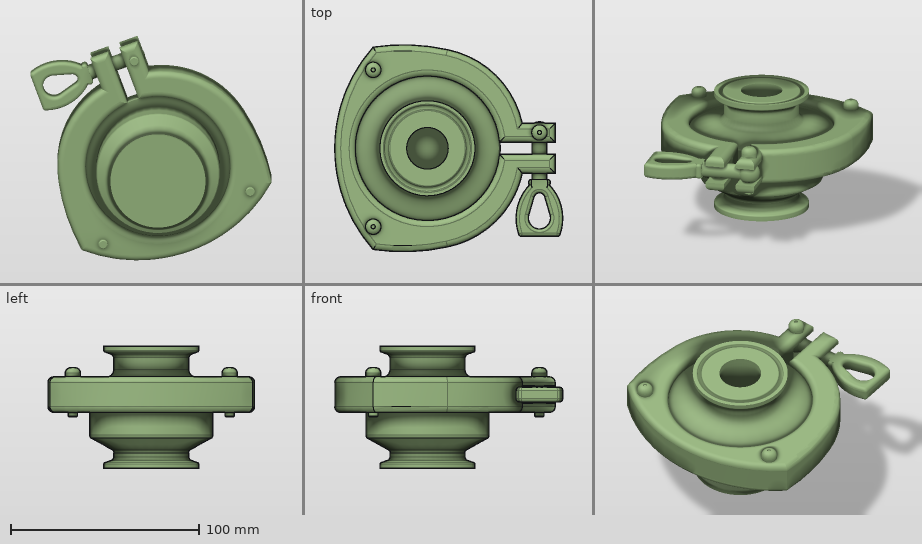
import cadquery as cq
import math

CLAMP_HALF_HEIGHT = 9.5
CLAMP_EDGE_FILLET = 3.2
CLAMP_BORE_RADIUS = 38.4
CLAMP_LEFT_X = -49.3
CLAMP_HALF_WIDTH = 54.985
SIDE_ARC_RADIUS = 108.0
SIDE_ARC_CENTER_X = -12.7
CORNER_X = -28.8
FLANK_END_X = 10.6
FRONT_ARC_MID = (36.6, 38.5)
ARM_ROOT_X = 50.4
ARM_END_X = 67.9
ARM_OUTER_Y = 13.35
ARM_GAP_HALF = 3.15
BOLT_SLOT_HALF_HEIGHT = 4.6
BOLT_SLOT_START_X = ARM_ROOT_X

BODY_TOP_Z = 25.75
BODY_HEIGHT = 65.0
BODY_BOTTOM_Z = BODY_TOP_Z - BODY_HEIGHT
PORT_FLANGE_RADIUS = 50.5 / 2
PORT_FLANGE_RIM = 2.3
PORT_TUBE_RADIUS = 40.0 / 2
PORT_RIM_ROUND_END = (24.7, 3.1)
PORT_CONE_END = (21.5, 4.3)
PORT_NECK_LENGTH = 6.1
FOOT_TOP_Z = 13.2
FOOT_RADIUS = 22.8
DISC_RADIUS = 38.7
DISC_EDGE_ROUND = 0.5
DISC_EDGE_Z = 5.0
FOOT_BOTTOM_Z = 9.5
HOUSING_RADIUS = 65.5 / 2
HOUSING_END_Z = -21.4
HOUSING_CONE_START = (32.2, -23.0)
HOUSING_CONE_END = (20.5, -29.5)
LOWER_TUBE_TOP_Z = -31.1
PORT_BORE_RADIUS = 22.1 / 2
PORT_BORE_DEPTH = BODY_TOP_Z
GASKET_GROOVE_RADIUS = 21.75
GASKET_GROOVE_ROUND = 1.1
GASKET_GROOVE_LIP = 0.6

PIN_HEAD_RADIUS = 4.1
PIN_HEAD_TOP_Z = 14.4
PIN_DOME_ROUND = 3.05
PIN_DIMPLE_RADIUS = 1.1
PIN_DIMPLE_DEPTH = 0.8
PIN_RADIUS = 5.0 / 2
PIN_END_Z = -11.85
PIN_END_CHAMFER = 0.5
HINGE_PIN_Y = 41.65

BOLT_X = 59.46
BOLT_PIN_Y = 8.4
BOLT_RADIUS = 8.0 / 2
BOLT_EYE_RADIUS = 5.75
BOLT_EYE_HALF_HEIGHT = 4.5
NUT_HALF_HEIGHT = 4.0
NUT_EDGE_FILLET = 1.9
NUT_HALF_WIDTH = 12.45
NUT_TOP_Y = -16.6
NUT_TOP_HALF_WIDTH = 4.0
NUT_WIDEST_Y = -36.5
NUT_END_Y = -46.8
NUT_END_HALF_WIDTH = 10.6
NUT_CORNER_FILLET = 1.5
COLLAR_HALF_WIDTH = 5.8
COLLAR_LENGTH = 3.2
COLLAR_FILLET = 1.4
NECK_HALF_WIDTH = 4.2
NECK_LENGTH = 3.9
EYELET_LARGE_RADIUS = 5.8
EYELET_LARGE_Y = -37.0
EYELET_SMALL_RADIUS = 2.9
EYELET_SMALL_Y = -26.6


def flank_y(x):
    """Height of the flank arc above the X axis at position x."""
    center_y = CLAMP_HALF_WIDTH - SIDE_ARC_RADIUS
    return center_y + math.sqrt(SIDE_ARC_RADIUS ** 2 - (x - SIDE_ARC_CENTER_X) ** 2)


def block(x_range, y_range, z_range):
    """Axis-aligned box from its limits."""
    return cq.Workplane("XY").box(
        x_range[1] - x_range[0], y_range[1] - y_range[0], z_range[1] - z_range[0], centered=False
    ).translate((x_range[0], y_range[0], z_range[0]))


def make_clamp():
    """Edge-rounded clamp ring with two slotted arms."""
    corner = (CORNER_X, flank_y(CORNER_X))
    crest = (SIDE_ARC_CENTER_X, CLAMP_HALF_WIDTH)
    flank_end = (FLANK_END_X, flank_y(FLANK_END_X))

    def mirrored(point):
        return (point[0], -point[1])

    clamp = (
        cq.Workplane("XY")
        .workplane(offset=-CLAMP_HALF_HEIGHT)
        .moveTo(*mirrored(corner))
        .threePointArc((CLAMP_LEFT_X, 0), corner)
        .threePointArc(crest, flank_end)
        .threePointArc(FRONT_ARC_MID, (ARM_ROOT_X, ARM_OUTER_Y))
        .lineTo(ARM_END_X, ARM_OUTER_Y)
        .lineTo(ARM_END_X, -ARM_OUTER_Y)
        .lineTo(ARM_ROOT_X, -ARM_OUTER_Y)
        .threePointArc(mirrored(FRONT_ARC_MID), mirrored(flank_end))
        .threePointArc(mirrored(crest), mirrored(corner))
        .close()
        .extrude(2 * CLAMP_HALF_HEIGHT)
    )
    z_range = (-CLAMP_HALF_HEIGHT, CLAMP_HALF_HEIGHT)
    bore = cq.Workplane("XY").circle(CLAMP_BORE_RADIUS).extrude(CLAMP_HALF_HEIGHT, both=True)
    arm_gap = block((0, ARM_END_X), (-ARM_GAP_HALF, ARM_GAP_HALF), z_range)
    clamp = clamp.cut(bore).cut(arm_gap)
    clamp = clamp.faces("|Z").edges().fillet(CLAMP_EDGE_FILLET)
    bolt_slot = block(
        (BOLT_SLOT_START_X, ARM_END_X),
        (-ARM_OUTER_Y, ARM_OUTER_Y),
        (-BOLT_SLOT_HALF_HEIGHT, BOLT_SLOT_HALF_HEIGHT),
    )
    return clamp.cut(bolt_slot)


def make_gasket_groove():
    """Round-bottomed ring cutter with rounded lips, in the top port face."""
    inner_wall = GASKET_GROOVE_RADIUS - GASKET_GROOVE_ROUND
    outer_wall = GASKET_GROOVE_RADIUS + GASKET_GROOVE_ROUND
    wall_z = BODY_TOP_Z - GASKET_GROOVE_LIP
    inner_lip = inner_wall - GASKET_GROOVE_LIP
    outer_lip = outer_wall + GASKET_GROOVE_LIP
    lip_middle = GASKET_GROOVE_LIP * math.sqrt(0.5)
    return (
        cq.Workplane("XZ")
        .moveTo(inner_lip, BODY_TOP_Z)
        .threePointArc((inner_lip + lip_middle, wall_z + lip_middle), (inner_wall, wall_z))
        .threePointArc((GASKET_GROOVE_RADIUS, wall_z - GASKET_GROOVE_ROUND), (outer_wall, wall_z))
        .threePointArc((outer_lip - lip_middle, wall_z + lip_middle), (outer_lip, BODY_TOP_Z))
        .close()
        .revolve(360, (0, 0, 0), (0, 1, 0))
    )


def make_body():
    """Revolved valve body with a grooved, blind-bored port on top."""
    rim_top_z = BODY_TOP_Z - PORT_FLANGE_RIM
    rim_bottom_z = BODY_BOTTOM_Z + PORT_FLANGE_RIM
    round_radius, round_depth = PORT_RIM_ROUND_END
    cone_radius, cone_depth = PORT_CONE_END
    upper_tube_z = BODY_TOP_Z - PORT_NECK_LENGTH
    lower_tube_z = BODY_BOTTOM_Z + PORT_NECK_LENGTH
    disc_flat_radius = DISC_RADIUS - DISC_EDGE_ROUND
    disc_side_z = DISC_EDGE_Z - DISC_EDGE_ROUND
    body = (
        cq.Workplane("XZ")
        .moveTo(0, BODY_TOP_Z)
        .lineTo(PORT_FLANGE_RADIUS, BODY_TOP_Z)
        .lineTo(PORT_FLANGE_RADIUS, rim_top_z)
        .tangentArcPoint((round_radius, BODY_TOP_Z - round_depth), relative=False)
        .lineTo(cone_radius, BODY_TOP_Z - cone_depth)
        .tangentArcPoint((PORT_TUBE_RADIUS, upper_tube_z), relative=False)
        .lineTo(PORT_TUBE_RADIUS, FOOT_TOP_Z)
        .tangentArcPoint((FOOT_RADIUS, FOOT_BOTTOM_Z), relative=False)
        .lineTo(disc_flat_radius, DISC_EDGE_Z)
        .tangentArcPoint((DISC_RADIUS, disc_side_z), relative=False)
        .lineTo(DISC_RADIUS, -disc_side_z)
        .lineTo(disc_flat_radius, -DISC_EDGE_Z)
        .lineTo(HOUSING_RADIUS, -DISC_EDGE_Z)
        .lineTo(HOUSING_RADIUS, HOUSING_END_Z)
        .tangentArcPoint(HOUSING_CONE_START, relative=False)
        .lineTo(*HOUSING_CONE_END)
        .tangentArcPoint((PORT_TUBE_RADIUS, LOWER_TUBE_TOP_Z), relative=False)
        .lineTo(PORT_TUBE_RADIUS, lower_tube_z)
        .tangentArcPoint((cone_radius, BODY_BOTTOM_Z + cone_depth), relative=False)
        .lineTo(round_radius, BODY_BOTTOM_Z + round_depth)
        .tangentArcPoint((PORT_FLANGE_RADIUS, rim_bottom_z), relative=False)
        .lineTo(PORT_FLANGE_RADIUS, BODY_BOTTOM_Z)
        .lineTo(0, BODY_BOTTOM_Z)
        .close()
        .revolve(360, (0, 0, 0), (0, 1, 0))
    )
    body = body.cut(make_gasket_groove())
    bore = (
        cq.Workplane("XY")
        .workplane(offset=BODY_TOP_Z - PORT_BORE_DEPTH)
        .circle(PORT_BORE_RADIUS)
        .extrude(PORT_BORE_DEPTH)
    )
    return body.cut(bore)


def make_pin(x, y):
    """Vertical pin with a domed, dimpled head on top of the clamp."""
    shank = (
        cq.Workplane("XY")
        .workplane(offset=PIN_END_Z)
        .circle(PIN_RADIUS)
        .extrude(CLAMP_HALF_HEIGHT - PIN_END_Z)
        .faces("<Z")
        .chamfer(PIN_END_CHAMFER)
    )
    head_base_z = CLAMP_HALF_HEIGHT - CLAMP_EDGE_FILLET
    head = (
        cq.Workplane("XY")
        .circle(PIN_HEAD_RADIUS)
        .extrude(PIN_HEAD_TOP_Z - head_base_z)
        .faces(">Z")
        .edges()
        .fillet(PIN_DOME_ROUND)
        .faces(">Z")
        .workplane()
        .hole(2 * PIN_DIMPLE_RADIUS, PIN_DIMPLE_DEPTH)
        .translate((0, 0, head_base_z))
    )
    return shank.union(head).translate((x, y, 0))


def make_bolt():
    """Swing bolt: flattened ball eye around its pin, and a round shank along -Y."""
    eye = cq.Workplane("XY").sphere(BOLT_EYE_RADIUS)
    flats = cq.Workplane("XY").circle(BOLT_EYE_RADIUS).extrude(BOLT_EYE_HALF_HEIGHT, both=True)
    shank_length = BOLT_PIN_Y - NUT_TOP_Y + COLLAR_LENGTH
    shank = cq.Workplane("XZ").circle(BOLT_RADIUS).extrude(shank_length)
    return eye.intersect(flats).union(shank).translate((BOLT_X, BOLT_PIN_Y, 0))


def make_nut():
    """Flat wing nut with bulging sides and a tear-shaped finger hole."""
    shoulder_y = NUT_TOP_Y - COLLAR_LENGTH / 2
    blank = (
        cq.Workplane("XY")
        .workplane(offset=-NUT_HALF_HEIGHT)
        .moveTo(-NUT_TOP_HALF_WIDTH, shoulder_y)
        .lineTo(NUT_TOP_HALF_WIDTH, shoulder_y)
        .threePointArc((NUT_HALF_WIDTH, NUT_WIDEST_Y), (NUT_END_HALF_WIDTH, NUT_END_Y))
        .lineTo(-NUT_END_HALF_WIDTH, NUT_END_Y)
        .threePointArc((-NUT_HALF_WIDTH, NUT_WIDEST_Y), (-NUT_TOP_HALF_WIDTH, shoulder_y))
        .close()
        .extrude(2 * NUT_HALF_HEIGHT)
        .edges("|Z and <Y")
        .fillet(NUT_CORNER_FILLET)
    )
    rise = (EYELET_LARGE_RADIUS - EYELET_SMALL_RADIUS) / (EYELET_SMALL_Y - EYELET_LARGE_Y)
    run = math.sqrt(1 - rise ** 2)
    large_x = EYELET_LARGE_RADIUS * run
    large_y = EYELET_LARGE_Y + EYELET_LARGE_RADIUS * rise
    small_x = EYELET_SMALL_RADIUS * run
    small_y = EYELET_SMALL_Y + EYELET_SMALL_RADIUS * rise
    eyelet = (
        cq.Workplane("XY")
        .workplane(offset=-NUT_HALF_HEIGHT)
        .moveTo(-large_x, large_y)
        .threePointArc((0, EYELET_LARGE_Y - EYELET_LARGE_RADIUS), (large_x, large_y))
        .lineTo(small_x, small_y)
        .threePointArc((0, EYELET_SMALL_Y + EYELET_SMALL_RADIUS), (-small_x, small_y))
        .close()
        .extrude(2 * NUT_HALF_HEIGHT)
    )
    nut = blank.cut(eyelet).faces("|Z").edges().fillet(NUT_EDGE_FILLET)
    collar = block(
        (-COLLAR_HALF_WIDTH, COLLAR_HALF_WIDTH),
        (NUT_TOP_Y - COLLAR_LENGTH, NUT_TOP_Y),
        (-NUT_HALF_HEIGHT, NUT_HALF_HEIGHT),
    ).edges().fillet(COLLAR_FILLET)
    neck = block(
        (-NECK_HALF_WIDTH, NECK_HALF_WIDTH),
        (NUT_TOP_Y - NECK_LENGTH, NUT_TOP_Y),
        (-NUT_HALF_HEIGHT, NUT_HALF_HEIGHT),
    )
    return nut.union(collar).union(neck).translate((BOLT_X, 0, 0))


result = make_clamp().union(make_body())
result = result.union(make_bolt()).union(make_nut())
for pin_x, pin_y in ((CORNER_X, HINGE_PIN_Y), (CORNER_X, -HINGE_PIN_Y), (BOLT_X, BOLT_PIN_Y)):
    result = result.union(make_pin(pin_x, pin_y))